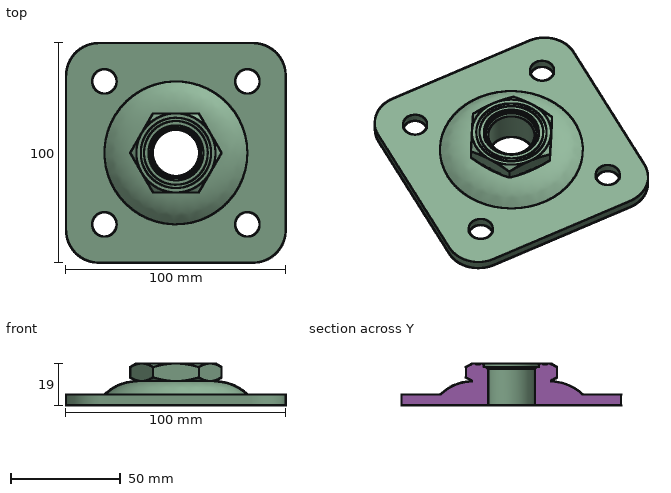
import cadquery as cq
import math

plate_side = 100
plate_thickness = 5
plate_corner_radius = 15
mount_hole_diameter = 11
mount_hole_spacing = 65

dome_base_diameter = 65
dome_flat_diameter = 35
dome_height = 6

nut_across_flats = 36
nut_height = 8
nut_bevel_angle = 30

bore_diameter = 21
bore_bevel = 1
recess_diameter = 25
recess_depth = 1.5
groove_inner_diameter = 29
groove_outer_diameter = 32
groove_depth = 0.3

dome_top = plate_thickness + dome_height
nut_top = dome_top + nut_height


def make_plate():
    plate = (
        cq.Workplane("XY")
        .rect(plate_side, plate_side)
        .extrude(plate_thickness)
        .edges("|Z")
        .fillet(plate_corner_radius)
    )
    holes = (
        cq.Workplane("XY")
        .rect(mount_hole_spacing, mount_hole_spacing, forConstruction=True)
        .vertices()
        .circle(mount_hole_diameter / 2)
        .extrude(plate_thickness)
    )
    return plate.cut(holes)


def make_dome():
    """Round dome whose arc runs tangent into its flat top and meets the plate at an angle."""
    base_radius = dome_base_diameter / 2
    flat_radius = dome_flat_diameter / 2
    run = base_radius - flat_radius
    arc_radius = (run**2 + dome_height**2) / (2 * dome_height)
    half_sweep = math.asin(run / arc_radius) / 2
    arc_middle = (
        flat_radius + arc_radius * math.sin(half_sweep),
        dome_top - arc_radius * (1 - math.cos(half_sweep)),
    )
    return (
        cq.Workplane("XZ")
        .lineTo(base_radius, 0)
        .lineTo(base_radius, plate_thickness)
        .threePointArc(arc_middle, (flat_radius, dome_top))
        .lineTo(0, dome_top)
        .close()
        .revolve(360, (0, 0), (0, 1))
    )


def make_nut():
    """Hexagon with two corners on the X axis, its corners bevelled at both ends."""
    corner_diameter = nut_across_flats / math.cos(math.pi / 6)
    flat_radius = nut_across_flats / 2
    nut_corner_radius = corner_diameter / 2
    bevel_drop = (nut_corner_radius - flat_radius) * math.tan(math.radians(nut_bevel_angle))
    hexagon = cq.Workplane("XY", origin=(0, 0, dome_top)).polygon(6, corner_diameter).extrude(nut_height)
    bevel_envelope = (
        cq.Workplane("XZ")
        .moveTo(0, dome_top)
        .lineTo(flat_radius, dome_top)
        .lineTo(nut_corner_radius, dome_top + bevel_drop)
        .lineTo(nut_corner_radius, nut_top - bevel_drop)
        .lineTo(flat_radius, nut_top)
        .lineTo(0, nut_top)
        .close()
        .revolve(360, (0, 0), (0, 1))
    )
    return hexagon.intersect(bevel_envelope)


def make_bore():
    """Through bore with a bevelled rim at the floor of a shallow round recess."""
    bore_radius = bore_diameter / 2
    recess_radius = recess_diameter / 2
    recess_floor = nut_top - recess_depth
    return (
        cq.Workplane("XZ")
        .lineTo(bore_radius, 0)
        .lineTo(bore_radius, recess_floor - bore_bevel)
        .lineTo(bore_radius + bore_bevel, recess_floor)
        .lineTo(recess_radius, recess_floor)
        .lineTo(recess_radius, nut_top)
        .lineTo(0, nut_top)
        .close()
        .revolve(360, (0, 0), (0, 1))
    )


def make_groove():
    """Shallow ring groove in the nut top, around the recess."""
    return (
        cq.Workplane("XY", origin=(0, 0, nut_top - groove_depth))
        .circle(groove_outer_diameter / 2)
        .circle(groove_inner_diameter / 2)
        .extrude(groove_depth)
    )


result = make_plate().union(make_dome()).union(make_nut()).cut(make_bore()).cut(make_groove())